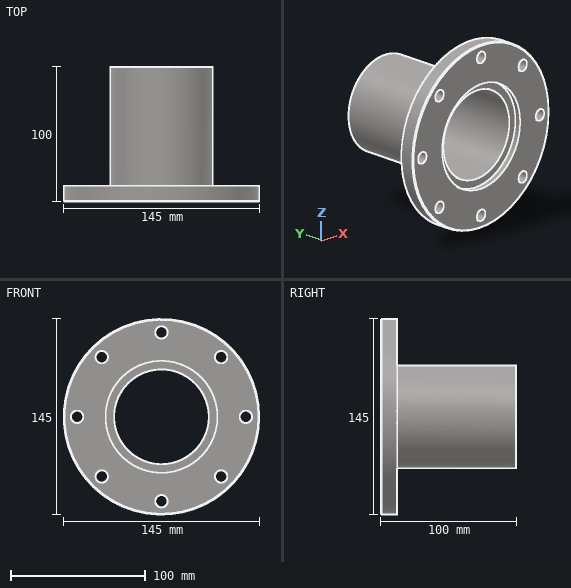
import cadquery as cq

flange_diameter = 145.0
flange_thickness = 12.0
rim_chamfer = 0.7

overall_length = 100.0
tube_diameter = 76.3
bore_diameter = 70.0

recess_diameter = 83.0
recess_depth = 5.0

bolt_hole_diameter = 9.0
bolt_circle_diameter = 125.0
bolt_hole_count = 8


def cylinder_along_y(diameter, length):
    """Solid cylinder on the Y axis, from Y = 0 to Y = length."""
    return cq.Workplane("XZ").circle(diameter / 2).extrude(-length)


def bolt_holes():
    """Cylinders evenly spaced on the bolt circle, one on the X axis."""
    return (
        cq.Workplane("XZ")
        .polarArray(bolt_circle_diameter / 2, 0, 360, bolt_hole_count)
        .circle(bolt_hole_diameter / 2)
        .extrude(-flange_thickness)
    )


flange = cylinder_along_y(flange_diameter, flange_thickness).faces("<Y").edges().chamfer(rim_chamfer)
tube = cylinder_along_y(tube_diameter, overall_length)
bore = cylinder_along_y(bore_diameter, overall_length)
recess = cylinder_along_y(recess_diameter, recess_depth)

result = flange.union(tube).cut(bore).cut(recess).cut(bolt_holes())